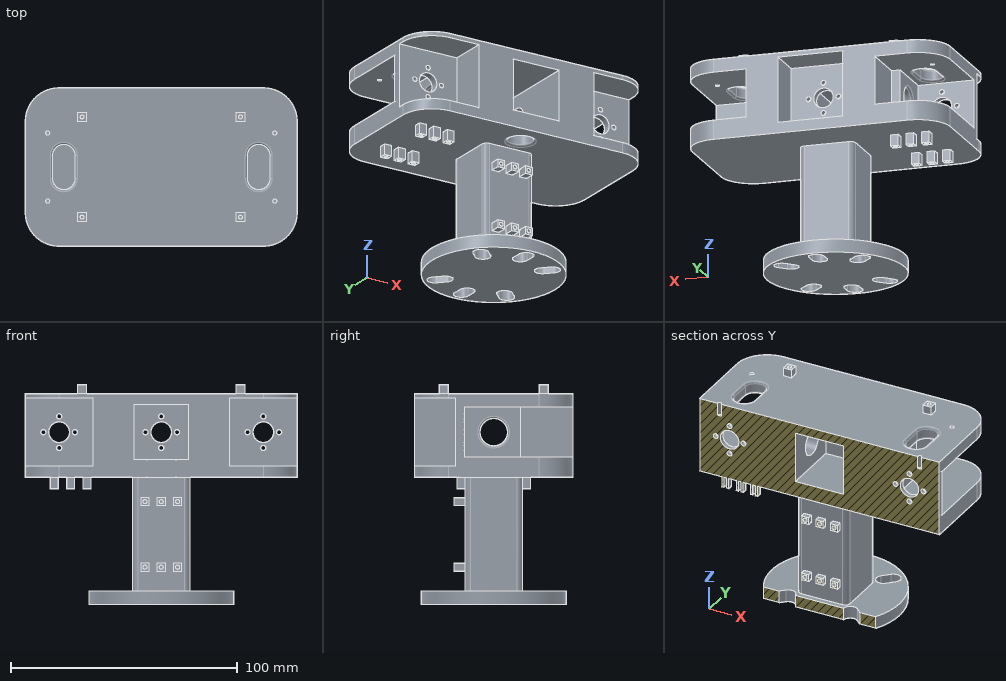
import cadquery as cq

body_length = 120.0
body_width = 70.0
corner_radius = 15.0
base_diameter = 64.0
base_thickness = 6.0
column_height = 50.0
column_side = 25.5
column_corner_radius = 2.5
lower_plate_thickness = 4.9
core_height = 30.0
upper_plate_thickness = 2.0

column_top = base_thickness + column_height
core_bottom = column_top + lower_plate_thickness
core_top = core_bottom + core_height
core_middle = core_bottom + core_height / 2
plate_top = core_top + upper_plate_thickness

notch_width = 30.0
notch_wall_outer = 16.9
notch_wall_thickness = 4.0
notch_wall_inner = notch_wall_outer - notch_wall_thickness
side_notch_x = (body_length - notch_width) / 2
notch_places = ((-side_notch_x, -1), (0, 1), (side_notch_x, -1))

side_bay_height = 22.1
side_bay_inner_x = 34.0
side_bay_step_y = 11.9
bay_ceiling = core_middle + side_bay_height / 2
middle_bay_width = 23.9
middle_bay_height = 24.2

shaft_hole_diameter = 9.0
wall_screw_diameter = 2.2
wall_screw_offset = 7.0

cable_hole_diameter = 12.0
cable_edge_radius = 1.0
rim_clearance = 1.2
floor_hole_y = -22.0
slot_width = 10.0
slot_length = 19.9
slot_x = 43.0

plate_hole_diameter = 1.8
plate_hole_x = 50.0
plate_hole_y = 15.0

top_peg_side = 4.1
top_peg_height = 4.0
top_peg_hole = 1.7
top_peg_x = 34.9
top_peg_y = 22.1

small_peg_side = 3.6
small_peg_hole = 1.8
small_peg_pitch = 7.2
column_peg_length = 4.8
column_peg_levels = (16.5, 45.4)
under_peg_length = 5.0
under_peg_x = -40.0
under_peg_y = 14.4

base_slot_width = 7.0
base_slot_length = 11.5
base_slot_radius = 24.2
base_slot_angles = (45, 90, 135, 225, 270, 315)


def box(x_range, y_range, z_range):
    """Box between the given limits on each axis."""
    limits = (x_range, y_range, z_range)
    size = [high - low for low, high in limits]
    center = [(high + low) / 2 for low, high in limits]
    return cq.Workplane("XY").box(*size).translate(tuple(center))


def centered(middle, size):
    """Limits of a length centered on a position."""
    return (middle - size / 2, middle + size / 2)


def rounded_body():
    """Upper plate, core and lower plate as one block with round corners."""
    block = cq.Workplane("XY", origin=(0, 0, column_top)).rect(body_length, body_width)
    return block.extrude(plate_top - column_top).edges("|Z").fillet(corner_radius)


def notch(x_center, side):
    """Full-height opening outside a notch wall, on the given side."""
    y_range = sorted((side * notch_wall_outer, side * body_width / 2))
    return box(centered(x_center, notch_width), y_range, (core_bottom, core_top))


def side_bay(side):
    """Bay open at one end and at the back, wider behind the step."""
    z_range = centered(core_middle, side_bay_height)
    end = side * body_length / 2
    front_x = sorted((side * side_bay_inner_x, end))
    back_x = sorted((end - side * notch_width, end))
    front = box(front_x, (-notch_wall_inner, side_bay_step_y), z_range)
    return front.union(box(back_x, (side_bay_step_y, body_width / 2), z_range))


def middle_bay():
    """Bay open at the front, closed by the wall of the back notch."""
    y_range = (-body_width / 2, notch_wall_inner)
    return box(centered(0, middle_bay_width), y_range, centered(core_middle, middle_bay_height))


def wall_holes(x_center, side):
    """Shaft hole with four screw holes around it through one notch wall."""
    start_y = side * notch_wall_inner
    plane = cq.Workplane("XZ", origin=(x_center, start_y, core_middle))
    depth = -side * notch_wall_thickness
    screws = plane.polarArray(wall_screw_offset, 0, 360, 4).circle(wall_screw_diameter / 2).extrude(depth)
    return screws.union(plane.circle(shaft_hole_diameter / 2).extrude(depth))


def peg(plane, side, length, hole_diameter):
    """Square peg with a hole along its whole length, standing on a plane."""
    return plane.rect(side, side).circle(hole_diameter / 2).extrude(length)


def base():
    """Round base with slots pointing outward."""
    disc = cq.Workplane("XY").circle(base_diameter / 2).extrude(base_thickness)
    for angle in base_slot_angles:
        slot = (
            cq.Workplane("XY")
            .center(base_slot_radius, 0)
            .slot2D(base_slot_length, base_slot_width)
            .extrude(base_thickness)
            .rotate((0, 0, 0), (0, 0, 1), angle)
        )
        disc = disc.cut(slot)
    return disc


def column():
    """Square column with round corners."""
    post = cq.Workplane("XY", origin=(0, 0, base_thickness)).rect(column_side, column_side)
    return post.extrude(column_height).edges("|Z").fillet(column_corner_radius)


def round_rim(shape, center, size):
    """Round the rim of a cable opening; size is a box around the rim, centered on it."""
    x_range, y_range, z_range = [centered(middle, length) for middle, length in zip(center, size)]
    low, high = zip(x_range, y_range, z_range)
    return shape.edges(cq.selectors.BoxSelector(low, high, boundingbox=True)).fillet(cable_edge_radius)


def cut_cross_hole(shape):
    """Hole along X joining the side bays through the middle bay, rounded at both ends."""
    start = (-side_bay_inner_x, 0, core_middle)
    hole = cq.Workplane("YZ", origin=start).circle(cable_hole_diameter / 2).extrude(2 * side_bay_inner_x)
    shape = shape.cut(hole)
    rim_box = (rim_clearance, cable_hole_diameter + rim_clearance, cable_hole_diameter + rim_clearance)
    for x in (-side_bay_inner_x, side_bay_inner_x):
        shape = round_rim(shape, (x, 0, core_middle), rim_box)
    return shape


def cut_floor_hole(shape):
    """Hole through the floor of the middle bay, rounded at both ends."""
    bay_floor = core_middle - middle_bay_height / 2
    plane = cq.Workplane("XY", origin=(0, floor_hole_y, column_top))
    shape = shape.cut(plane.circle(cable_hole_diameter / 2).extrude(bay_floor - column_top))
    rim_box = (cable_hole_diameter + rim_clearance, cable_hole_diameter + rim_clearance, rim_clearance)
    for z in (column_top, bay_floor):
        shape = round_rim(shape, (0, floor_hole_y, z), rim_box)
    return shape


def cut_plate_slot(shape, x):
    """Slot from the upper plate into a side bay, rounded at both ends."""
    plane = cq.Workplane("XY", origin=(x, 0, bay_ceiling))
    shape = shape.cut(plane.slot2D(slot_length, slot_width, 90).extrude(plate_top - bay_ceiling))
    rim_box = (slot_width + rim_clearance, slot_length + rim_clearance, rim_clearance)
    for z in (bay_ceiling, plate_top):
        shape = round_rim(shape, (x, 0, z), rim_box)
    return shape


def plate_hole(x, y):
    """Small hole from the upper plate down to the level of the side bay ceiling."""
    plane = cq.Workplane("XY", origin=(x, y, bay_ceiling))
    return plane.circle(plate_hole_diameter / 2).extrude(plate_top - bay_ceiling)


body = rounded_body()
for x_center, side in notch_places:
    body = body.cut(notch(x_center, side))
for side in (-1, 1):
    body = body.cut(side_bay(side))
body = body.cut(middle_bay())
for x_center, side in notch_places:
    body = body.cut(wall_holes(x_center, side))
body = cut_cross_hole(body)
body = cut_floor_hole(body)
for x in (-slot_x, slot_x):
    body = cut_plate_slot(body, x)
for x in (-plate_hole_x, plate_hole_x):
    for y in (-plate_hole_y, plate_hole_y):
        body = body.cut(plate_hole(x, y))

result = base().union(column()).union(body)

for x in (-top_peg_x, top_peg_x):
    for y in (-top_peg_y, top_peg_y):
        plane = cq.Workplane("XY", origin=(x, y, plate_top))
        result = result.union(peg(plane, top_peg_side, top_peg_height, top_peg_hole))

for step in (-1, 0, 1):
    offset = step * small_peg_pitch
    for level in column_peg_levels:
        plane = cq.Workplane("XZ", origin=(offset, -column_side / 2, level))
        result = result.union(peg(plane, small_peg_side, column_peg_length, small_peg_hole))
    for y in (-under_peg_y, under_peg_y):
        plane = cq.Workplane("XY", origin=(under_peg_x + offset, y, column_top))
        result = result.union(peg(plane, small_peg_side, -under_peg_length, small_peg_hole))